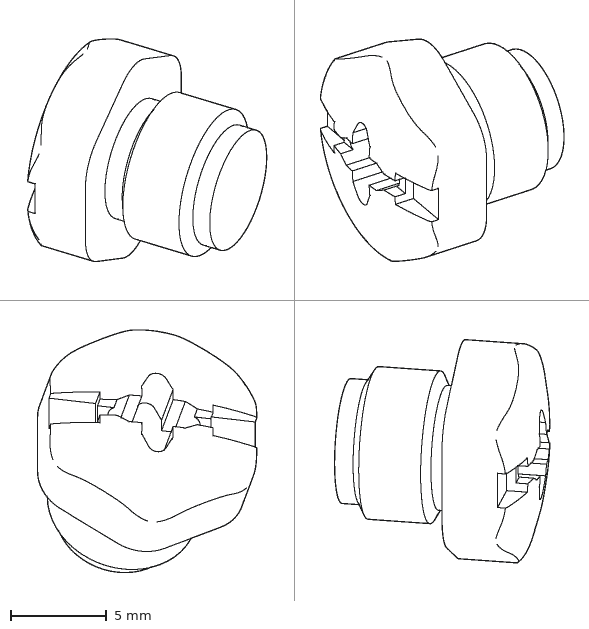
import cadquery as cq
import math


head_back = 4.32
neck_end = 5.33
thread_start = 5.74
thread_end = 9.03
tip_start = 9.47
total_length = 10.46

across_flats = 11.0
across_corners = 11.93
crown_apex_x = -0.05
dome_radius = 16.94
rim_fillet = 0.95
crown_radius = 5.99

neck_radius = 6.55 / 2
thread_radius = 8.0 / 2

narrow_slot_width = 0.98
narrow_slot_floor = 0.86
wide_slot_width = 1.91
wide_slot_floor = 1.36
wide_slot_inner = 3.02

cut_start_x = crown_apex_x - 0.12

cross_half_width = 0.84
cross_straight_end = 1.49
cross_taper_angle = math.radians(28)
cross_tip = 2.46
cross_floor = 2.98


def hex_prism():
    """Hexagon with flats facing +-Y and corners rounded to the across-corners size."""
    sharp_corner_radius = across_flats / 2 / math.cos(math.pi / 6)
    corner_fillet = (sharp_corner_radius - across_corners / 2) / (1 / math.cos(math.pi / 6) - 1)
    return (
        cq.Workplane("YZ")
        .polygon(6, 2 * sharp_corner_radius)
        .extrude(head_back)
        .edges("|X")
        .fillet(corner_fillet)
        .rotate((0, 0, 0), (1, 0, 0), 90)
    )


def crown_envelope():
    """Round body with a spherical dome and a tangent rounded rim."""
    dome_center_x = crown_apex_x + dome_radius
    rim_center_radius = crown_radius - rim_fillet
    rim_angle = math.asin(rim_center_radius / (dome_radius - rim_fillet))
    rim_center_x = dome_center_x - (dome_radius - rim_fillet) * math.cos(rim_angle)

    def dome_point(angle):
        return (dome_center_x - dome_radius * math.cos(angle), dome_radius * math.sin(angle))

    rim_mid_angle = (rim_angle + math.pi / 2) / 2
    rim_mid = (
        rim_center_x - rim_fillet * math.cos(rim_mid_angle),
        rim_center_radius + rim_fillet * math.sin(rim_mid_angle),
    )
    return (
        cq.Workplane("XY")
        .moveTo(crown_apex_x, 0)
        .threePointArc(dome_point(rim_angle / 2), dome_point(rim_angle))
        .threePointArc(rim_mid, (rim_center_x, crown_radius))
        .lineTo(head_back, crown_radius)
        .lineTo(head_back, 0)
        .close()
        .revolve(360, (0, 0, 0), (1, 0, 0))
    )


def shank():
    """Neck, thread cylinder with chamfered ends, and tip."""
    return (
        cq.Workplane("XY")
        .moveTo(head_back, 0)
        .lineTo(head_back, neck_radius)
        .lineTo(neck_end, neck_radius)
        .lineTo(thread_start, thread_radius)
        .lineTo(thread_end, thread_radius)
        .lineTo(tip_start, neck_radius)
        .lineTo(total_length, neck_radius)
        .lineTo(total_length, 0)
        .close()
        .revolve(360, (0, 0, 0), (1, 0, 0))
    )


def driver_slot():
    """Narrow slot across Y with a wider, deeper pocket at each end."""
    slot = cq.Workplane("XY").box(
        narrow_slot_floor - cut_start_x, across_flats, narrow_slot_width, centered=(False, True, True)
    )
    end_length = across_flats / 2 - wide_slot_inner
    end_center = wide_slot_inner + end_length / 2
    for side in (-1, 1):
        pocket = cq.Workplane("XY").box(
            wide_slot_floor - cut_start_x, end_length, wide_slot_width, centered=(False, True, True)
        )
        slot = slot.union(pocket.translate((0, side * end_center, 0)))
    return slot.translate((cut_start_x, 0, 0))


def cross_arm_pair():
    """Two opposite recess arms along Y, each tapering to a round tip."""
    slope = math.tan(cross_taper_angle)
    taper_apex = cross_straight_end + cross_half_width / slope
    sine = math.sin(cross_taper_angle)
    tip_radius = (taper_apex - cross_tip) * sine / (1 - sine)
    tip_center = cross_tip - tip_radius
    tangent_y = tip_center + tip_radius * sine
    tangent_z = tip_radius * math.cos(cross_taper_angle)
    return (
        cq.Workplane("YZ", origin=(cut_start_x, 0, 0))
        .moveTo(cross_straight_end, -cross_half_width)
        .lineTo(tangent_y, -tangent_z)
        .threePointArc((cross_tip, 0), (tangent_y, tangent_z))
        .lineTo(cross_straight_end, cross_half_width)
        .lineTo(-cross_straight_end, cross_half_width)
        .lineTo(-tangent_y, tangent_z)
        .threePointArc((-cross_tip, 0), (-tangent_y, -tangent_z))
        .lineTo(-cross_straight_end, -cross_half_width)
        .close()
        .extrude(cross_floor - cut_start_x)
    )


head = hex_prism().intersect(crown_envelope())
result = head.union(shank()).cut(driver_slot())
for turn in (0, 90):
    result = result.cut(cross_arm_pair().rotate((0, 0, 0), (1, 0, 0), turn))